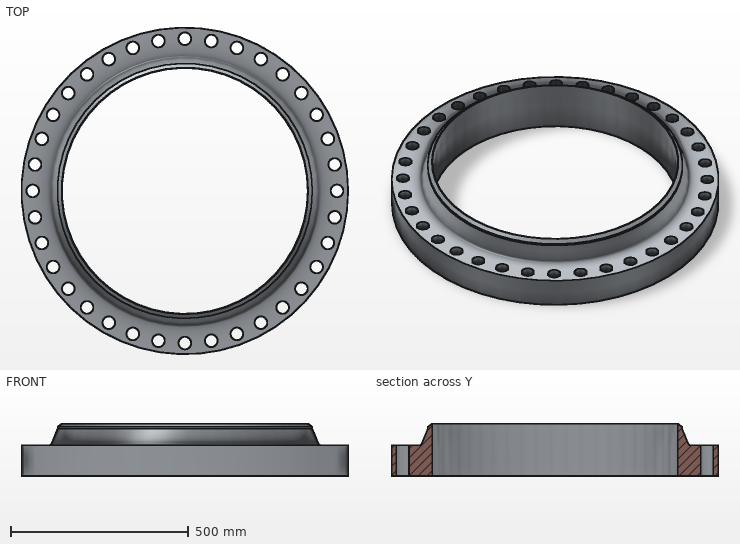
import cadquery as cq
import math

flange_diameter = 920.75
flange_thickness = 87.3
bore_diameter = 692.0

overall_height = 147.57
neck_diameter = 718.0
neck_straight_height = 5.5
hub_base_diameter = 756.0
hub_fillet_radius = 6.35

bevel_land = 1.6
bevel_angle = 37.5

bolt_count = 36
bolt_circle_diameter = 857.25
bolt_hole_diameter = 34.9


def make_body():
    """Revolve the half section of the ring, tapered hub and bevelled neck about Z."""
    bore_radius = bore_diameter / 2
    flange_radius = flange_diameter / 2
    neck_radius = neck_diameter / 2
    hub_base_radius = hub_base_diameter / 2

    land_radius = bore_radius + bevel_land
    bevel_height = (neck_radius - land_radius) * math.tan(math.radians(bevel_angle))
    neck_top = overall_height - bevel_height
    taper_top = neck_top - neck_straight_height

    taper_tilt = math.atan2(hub_base_radius - neck_radius, taper_top - flange_thickness)
    tangent_length = hub_fillet_radius * math.tan((math.pi / 2 - taper_tilt) / 2)
    fillet_center_radius = hub_base_radius + tangent_length
    fillet_center_height = flange_thickness + hub_fillet_radius
    fillet_start = (
        hub_base_radius - tangent_length * math.sin(taper_tilt),
        flange_thickness + tangent_length * math.cos(taper_tilt),
    )
    fillet_mid_angle = (3 * math.pi / 2 + math.pi + taper_tilt) / 2
    fillet_middle = (
        fillet_center_radius + hub_fillet_radius * math.cos(fillet_mid_angle),
        fillet_center_height + hub_fillet_radius * math.sin(fillet_mid_angle),
    )
    fillet_end = (fillet_center_radius, flange_thickness)

    section = (
        cq.Workplane("XZ")
        .moveTo(bore_radius, 0)
        .lineTo(bore_radius, overall_height)
        .lineTo(land_radius, overall_height)
        .lineTo(neck_radius, neck_top)
        .lineTo(neck_radius, taper_top)
        .lineTo(*fillet_start)
        .threePointArc(fillet_middle, fillet_end)
        .lineTo(flange_radius, flange_thickness)
        .lineTo(flange_radius, 0)
        .close()
    )
    return section.revolve(360, (0, 0, 0), (0, 1, 0))


def make_bolt_holes():
    """Through holes evenly spaced on the bolt circle, the first one on +X."""
    return (
        cq.Workplane("XY")
        .polarArray(bolt_circle_diameter / 2, 0, 360, bolt_count)
        .circle(bolt_hole_diameter / 2)
        .extrude(flange_thickness)
    )


result = make_body().cut(make_bolt_holes())